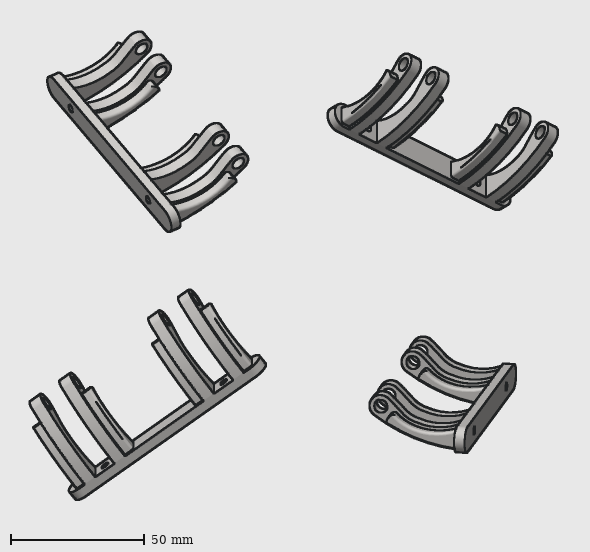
import cadquery as cq
import math

PLATE_LENGTH = 90.0
PLATE_HEIGHT = 10.0
PLATE_THICKNESS = 4.05
SCREW_HOLE_DIAMETER = 3.0

STATION_SPACING = 56.0
ARM_WIDTH = 5.0
ARM_GAP = 9.0
RIB_WIDTH = 4.0
RIB_INSET = 1.35
RIB_ROUNDING = 1.0

OVERALL_DEPTH = 38.25
OVERALL_HEIGHT = 19.5

EYE_RADIUS = 4.4
EYE_Y = OVERALL_DEPTH - EYE_RADIUS
EYE_Z = OVERALL_HEIGHT - EYE_RADIUS
PIN_HOLE_DIAMETER = 5.0

UPPER_TANGENT_ANGLE = math.radians(122)
LOWER_TANGENT_ANGLE = math.radians(-56)

UPPER_SLOPE_POINTS = [(27.9, 15.4), (24.6, 12.1)]
UPPER_BEND_END = (20.3, 9.8)
UPPER_SAG = (14.5, 8.5)
LOWER_MIDDLE = (19.3, 2.9)

RIB_UPPER_TIP = (28.3, 13.5)
RIB_UPPER_POINTS = [(25.4, 10.9), (20.9, 8.5), (14.3, 7.1)]
RIB_LOWER_MIDDLE = (18.7, 4.1)
RIB_LOWER_END = (32.4, 10.6)
RIB_LOWER_TIP = (30.8, 9.5)
RIB_TIP_MIDDLE = (30.4, 11.6)


def eye_point(angle):
    """Point on the eye's outer circle."""
    return (EYE_Y + EYE_RADIUS * math.cos(angle), EYE_Z + EYE_RADIUS * math.sin(angle))


def make_plate():
    plate = (
        cq.Workplane("XZ")
        .center(0, PLATE_HEIGHT / 2)
        .slot2D(PLATE_LENGTH, PLATE_HEIGHT)
        .extrude(-PLATE_THICKNESS)
    )
    screw_holes = (
        cq.Workplane("XZ")
        .pushPoints([(side * STATION_SPACING / 2, PLATE_HEIGHT / 2) for side in (-1, 1)])
        .circle(SCREW_HOLE_DIAMETER / 2)
        .extrude(-PLATE_THICKNESS)
    )
    return plate.cut(screw_holes)


def make_arm(start_x):
    """Curved arm with a pin eye, growing in +X from start_x."""
    eye_far_angle = (UPPER_TANGENT_ANGLE + LOWER_TANGENT_ANGLE) / 2
    arm = (
        cq.Workplane("YZ", origin=(start_x, 0, 0))
        .moveTo(PLATE_THICKNESS, 0)
        .threePointArc(LOWER_MIDDLE, eye_point(LOWER_TANGENT_ANGLE))
        .threePointArc(eye_point(eye_far_angle), eye_point(UPPER_TANGENT_ANGLE))
        .spline(UPPER_SLOPE_POINTS + [UPPER_BEND_END], includeCurrent=True)
        .threePointArc(UPPER_SAG, (PLATE_THICKNESS, PLATE_HEIGHT))
        .close()
        .extrude(ARM_WIDTH)
    )
    pin_hole = (
        cq.Workplane("YZ", origin=(start_x, EYE_Y, EYE_Z))
        .circle(PIN_HOLE_DIAMETER / 2)
        .extrude(ARM_WIDTH)
    )
    return arm.cut(pin_hole)


def make_rib(start_x):
    """Side rib growing in +X from start_x, with rounded long edges and a rounded upper tip."""
    rib_plane = cq.Workplane("YZ", origin=(start_x, 0, 0))
    outer_x = start_x + RIB_WIDTH
    nearest = cq.selectors.NearestToPointSelector

    below_upper_edge = (
        rib_plane.moveTo(PLATE_THICKNESS, 0)
        .lineTo(RIB_LOWER_TIP[0], 0)
        .lineTo(*RIB_LOWER_TIP)
        .threePointArc(RIB_TIP_MIDDLE, RIB_UPPER_TIP)
        .spline(RIB_UPPER_POINTS + [(PLATE_THICKNESS, PLATE_HEIGHT - RIB_INSET)], includeCurrent=True)
        .close()
        .extrude(RIB_WIDTH)
    )
    upper_edge = nearest((outer_x, *RIB_UPPER_POINTS[1]))
    tip_edge = nearest((start_x + RIB_WIDTH / 2, *RIB_UPPER_TIP))
    upper_rounded = below_upper_edge.edges(upper_edge).fillet(RIB_ROUNDING)
    tip_rounded = below_upper_edge.edges(tip_edge).fillet(RIB_ROUNDING)

    above_lower_edge = (
        rib_plane.moveTo(PLATE_THICKNESS, RIB_INSET)
        .threePointArc(RIB_LOWER_MIDDLE, RIB_LOWER_END)
        .lineTo(RIB_LOWER_END[0], EYE_Z)
        .lineTo(PLATE_THICKNESS, EYE_Z)
        .close()
        .extrude(RIB_WIDTH)
    )
    lower_edge = nearest((outer_x, *RIB_LOWER_MIDDLE))
    lower_rounded = above_lower_edge.edges(lower_edge).fillet(RIB_ROUNDING)

    return upper_rounded.intersect(tip_rounded).intersect(lower_rounded)


half_station = make_arm(ARM_GAP / 2).union(make_rib(ARM_GAP / 2 + ARM_WIDTH))
station = half_station.union(half_station.mirror("YZ"))

result = make_plate()
for side in (-1, 1):
    result = result.union(station.translate((side * STATION_SPACING / 2, 0, 0)))